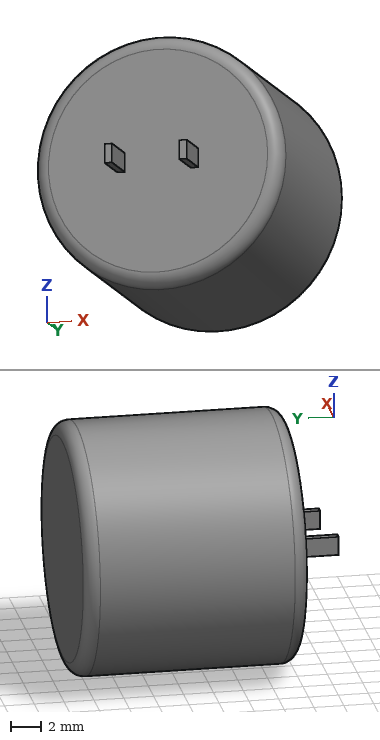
import cadquery as cq

can_diameter = 17.0
can_length = 15.0
can_edge_radius = 0.97

overall_length = 18.0
long_pin_length = overall_length - can_length
short_pin_length = 2.7
pin_spacing = 5.04
pin_width = 0.5
pin_height = 1.28


def make_can():
    """Solid cylinder running from Y = 0 toward +Y, rounded at both ends."""
    can = cq.Workplane("XZ").circle(can_diameter / 2).extrude(-can_length)
    return can.edges("%CIRCLE").fillet(can_edge_radius)


def make_pin(x_center, length):
    """Rectangular pin running from the pin face toward -Y."""
    return cq.Workplane("XZ").center(x_center, 0).rect(pin_width, pin_height).extrude(length)


result = (
    make_can()
    .union(make_pin(-pin_spacing / 2, long_pin_length))
    .union(make_pin(pin_spacing / 2, short_pin_length))
)